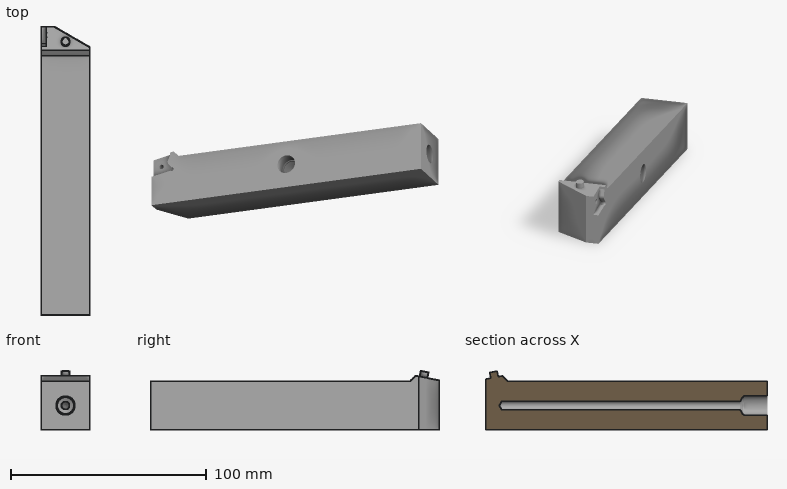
import cadquery as cq
import math

length = 147.5
width = 25.0
shank_height = 25.0
side = -width / 2
head_end = length / 2
mid_height = shank_height / 2

head_tilt = 11.0
slope = math.tan(math.radians(head_tilt))
front_height = 25.4
ridge_y = 61.7
ridge_height = front_height + (head_end - ridge_y) * slope
ramp_foot_y = ridge_y - (ridge_height - shank_height)
nose_width = 6.6
relief_angle = 30.0

pocket_depth = 2.7
pocket_floor_height = 15.5
pocket_back_y = 63.5

wall_bend_height = 26.1
bulge_top = (64.8, 23.2)
bulge_crest = (64.9, 22.3)
bulge_bottom = (64.6, 21.4)
wall_foot = (63.7, 20.4)

undercut_radius = 1.0
undercut_y = 62.7
undercut_height = 18.1
screw_hole_diameter = 2.4
screw_hole_depth = 7.4
screw_hole_y = 69.3
screw_hole_height = 21.2

pin_diameter = 4.1
pin_y = 66.2
pin_top = 30.2
pin_embed = 1.5

pilot_diameter = 8.5
thread_diameter = 9.6
end_thread_depth = 11.8
side_thread_depth = 7.4
thread_runout = 0.7
bore_diameter = 4.0
bore_depth = 135.7
drill_tip_angle = 120.0


def drilled_hole(diameter, depth):
    """Blind hole along +Z from the origin, ending in a drill point."""
    radius = diameter / 2
    tip = radius / math.tan(math.radians(drill_tip_angle / 2))
    return (
        cq.Workplane("XZ")
        .polyline([(0, 0), (radius, 0), (radius, depth), (0, depth + tip)])
        .close()
        .revolve(360, (0, 0, 0), (0, 1, 0))
    )


def port(thread_depth):
    """Threaded port along +Z, modelled smooth, with its narrower pilot hole running deeper."""
    thread = cq.Workplane("XY").circle(thread_diameter / 2).extrude(thread_depth)
    return drilled_hole(pilot_diameter, thread_depth + thread_runout).union(thread)


def from_end(hole):
    return hole.rotate((0, 0, 0), (1, 0, 0), -90).translate((0, -head_end, mid_height))


def from_side(hole, y, height, x):
    return hole.rotate((0, 0, 0), (0, 1, 0), 90).translate((x, y, height))


body = (
    cq.Workplane("YZ", origin=(side, 0, 0))
    .polyline([
        (-head_end, 0),
        (head_end, 0),
        (head_end, front_height),
        (ridge_y, ridge_height),
        (ramp_foot_y, shank_height),
        (-head_end, shank_height),
    ])
    .close()
    .extrude(width)
)

relief_length = (width - nose_width) * math.tan(math.radians(relief_angle))
relief = (
    cq.Workplane("XY")
    .polyline([
        (side + nose_width, head_end),
        (-side, head_end),
        (-side, head_end - relief_length),
    ])
    .close()
    .extrude(pin_top)
)
body = body.cut(relief)

pocket = (
    cq.Workplane("YZ", origin=(side, 0, 0))
    .moveTo(head_end, pocket_floor_height)
    .lineTo(head_end, pin_top)
    .lineTo(pocket_back_y, pin_top)
    .lineTo(pocket_back_y, wall_bend_height)
    .lineTo(*bulge_top)
    .threePointArc(bulge_crest, bulge_bottom)
    .lineTo(*wall_foot)
    .lineTo(undercut_y, undercut_height + undercut_radius)
    .lineTo(undercut_y, pocket_floor_height + (head_end - undercut_y) * slope)
    .close()
    .extrude(pocket_depth)
)
undercut = (
    cq.Workplane("YZ", origin=(side, undercut_y, undercut_height))
    .circle(undercut_radius)
    .extrude(pocket_depth)
)
screw_hole = from_side(
    drilled_hole(screw_hole_diameter, screw_hole_depth),
    screw_hole_y, screw_hole_height, side + pocket_depth,
)
body = body.cut(pocket).cut(undercut).cut(screw_hole)

tilt = math.radians(head_tilt)
pin_top_centre = pin_top - pin_diameter / 2 * math.sin(tilt)
pin_surface_height = front_height + (head_end - pin_y) * slope
pin_length = (pin_top_centre - pin_surface_height) * math.cos(tilt) + pin_embed
pin = (
    cq.Workplane("XY")
    .circle(pin_diameter / 2)
    .extrude(-pin_length)
    .rotate((0, 0, 0), (1, 0, 0), -head_tilt)
    .translate((0, pin_y, pin_top_centre))
)
body = body.union(pin)

bore = from_end(drilled_hole(bore_diameter, bore_depth))
end_port = from_end(port(end_thread_depth))
side_port = from_side(port(side_thread_depth), 0, mid_height, side)
result = body.cut(bore).cut(end_port).cut(side_port)